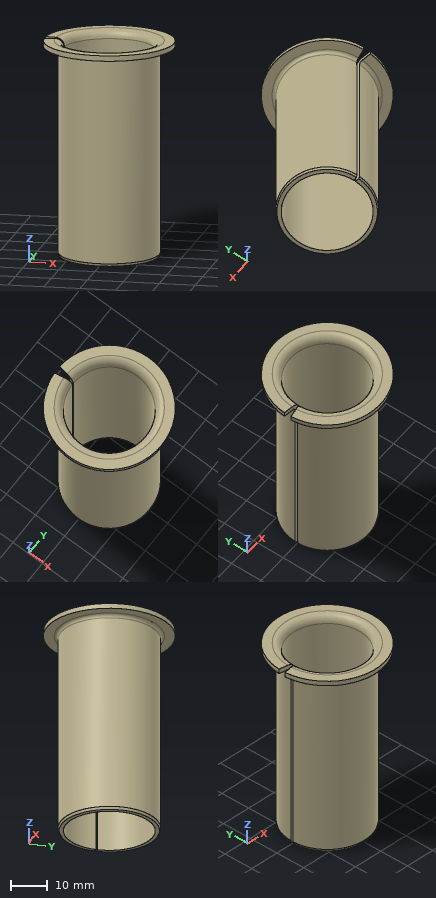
import cadquery as cq
import math

bore_radius = 12.5
wall = 1.5
flange_radius = 18.0
height = 60.0
bore_mouth_radius = 2.5
chamfer_height = 0.8
chamfer_depth = 0.3

split_width_at_bore = 0.4
split_width_at_rim = 2.25

tube_radius = bore_radius + wall
neck_fillet = bore_mouth_radius - wall
flange_underside = height - wall


def make_bushing():
    """Revolve the wall section, rolled outward into the flange at the top."""
    bend_radius = bore_radius + bore_mouth_radius
    bend_height = height - bore_mouth_radius
    diagonal = math.sqrt(0.5)

    def bend_point(radius):
        return (bend_radius - radius * diagonal, bend_height + radius * diagonal)

    section = (
        cq.Workplane("XZ")
        .moveTo(bore_radius, 0)
        .lineTo(tube_radius - chamfer_depth, 0)
        .lineTo(tube_radius, chamfer_height)
        .lineTo(tube_radius, bend_height)
        .threePointArc(bend_point(neck_fillet), (bend_radius, flange_underside))
        .lineTo(flange_radius, flange_underside)
        .lineTo(flange_radius, height)
        .lineTo(bend_radius, height)
        .threePointArc(bend_point(bore_mouth_radius), (bore_radius, bend_height))
        .close()
    )
    bushing = section.revolve(360, (0, 0, 0), (0, 1, 0))
    return bushing.rotate((0, 0, 0), (0, 0, 1), 180)


def make_split():
    """Wedge through the full height on the -X side, from inside the bore to past the rim."""
    overrun = 1.0
    slope = (split_width_at_rim - split_width_at_bore) / (flange_radius - bore_radius) / 2
    inner_half = split_width_at_bore / 2 - slope * overrun
    outer_half = split_width_at_rim / 2 + slope * overrun
    inner_x = -(bore_radius - overrun)
    outer_x = -(flange_radius + overrun)
    outline = [(inner_x, -inner_half), (inner_x, inner_half), (outer_x, outer_half), (outer_x, -outer_half)]
    return cq.Workplane("XY").polyline(outline).close().extrude(height)


result = make_bushing().cut(make_split())